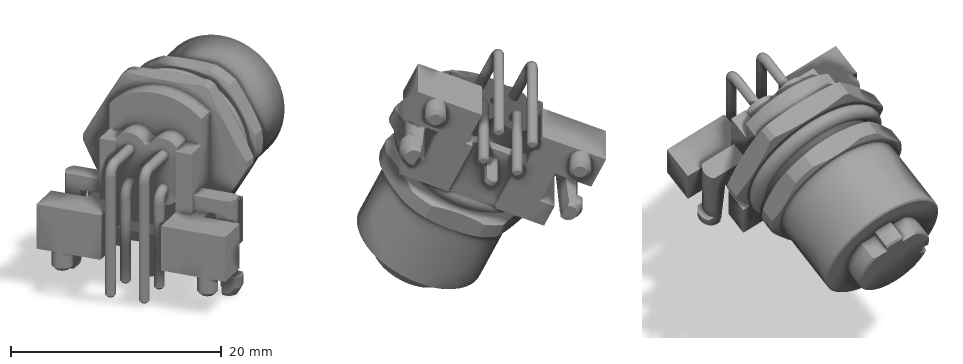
import cadquery as cq
import math


nose_end = 16.0
sleeve_end = 13.95
lock_nut_front = 6.47
lock_nut_rear = 4.45
flange_nut_front = 2.02
flange_rear = -2.02
insert_rear = -4.22
body_rear = -4.45
block_rear = -7.93

nose_radius = 4.05
nose_chamfer = 0.18
sleeve_radius = 6.5
sleeve_chamfer = 0.15
neck_radius = 6.0
ring_outer_radius = 7.45
ring_section_radius = 0.75

nut_chamfer_depth = 0.25
lock_nut_flat = 7.03
lock_nut_corner = 7.53
flange_nut_flat = 7.5
flange_nut_corner = 8.5

coding_floor = 3.2
key_half_width = 0.9
side_slot_width = 1.04
side_slot_angle = 17.0

base_top = -3.87
base_bottom = -8.5
body_half_width = 4.75
body_top = 2.43
flange_radius = 6.97
wing_half_width = 7.5
wing_front = 1.55
wing_rear = -0.95
web_half_width = 6.0
block_half_width = 9.75
opening_half_width = 3.13
opening_floor = -6.72
bridge_bottom = -7.68
bridge_notch_half_width = 2.45

pin_pitch = 3.49
pin_offset = pin_pitch / 2
pin_radius = 0.5
pin_bend_radius = 1.0
pin_bottom = -11.67
pin_tip_chamfer = 0.2
upper_pin_drop = -8.77
lower_pin_drop = -5.18
bump_radius = 1.7
bump_fillet = 0.4
insert_hole_radius = 0.63

blade_bottom = -11.57
blade_half_width = 0.55
blade_thickness = 0.5

leg_front = flange_rear
leg_width = 1.97
leg_mid = leg_front - leg_width / 2
leg_top = -2.02
leg_outer = 8.82
leg_inner_top = 7.03
leg_inner_bottom = 7.65
leg_bottom = -11.9
leg_round = 1.36
arm_bottom = -3.49
hook_outer = 9.38
hook_top = -9.93
hook_taper_top = -10.97
hook_tip_radius = 0.83
peg_x = 7.5
peg_y = -6.95
peg_radius = 1.0
peg_bottom = -10.5
peg_chamfer = 0.38


def box(x0, x1, y0, y1, z0, z1):
    """Block between two opposite corners."""
    return cq.Workplane("XY").box(x1 - x0, y1 - y0, z1 - z0, centered=False).translate((x0, y0, z0))


def slab(half_width, y0, y1, z0, z1):
    """Block centred on X = 0."""
    return box(-half_width, half_width, y0, y1, z0, z1)


def turned(profile):
    """Revolve (radius, y) points about the mating axis."""
    return cq.Workplane("XY").polyline(profile).close().revolve(360, (0, 0, 0), (0, 1, 0))


def along_y(y_front):
    """Workplane whose local axes are X and Z and which extrudes toward -Y."""
    return cq.Workplane("XZ", origin=(0, y_front, 0))


def both_sides(right_half):
    """The shape together with its mirror image across X = 0."""
    return right_half.union(right_half.mirror("YZ"))


def barrel():
    """Threaded neck and sleeve in one turned piece."""
    return turned([
        (0, 0),
        (neck_radius, 0),
        (neck_radius, lock_nut_rear),
        (sleeve_radius, lock_nut_rear),
        (sleeve_radius, sleeve_end - sleeve_chamfer),
        (sleeve_radius - sleeve_chamfer, sleeve_end),
        (0, sleeve_end),
    ])


def nose():
    """Plug face with an upper key between two flats and a coding slot on the -X side."""
    length = nose_end - sleeve_end
    solid = turned([
        (0, sleeve_end),
        (nose_radius, sleeve_end),
        (nose_radius, nose_end - nose_chamfer),
        (nose_radius - nose_chamfer, nose_end),
        (0, nose_end),
    ])
    flat = box(key_half_width, nose_radius, sleeve_end, nose_end, coding_floor, nose_radius)
    slot = cq.Workplane("XY").box(nose_radius, length, side_slot_width, centered=(False, False, True))
    slot = slot.translate((-coding_floor - nose_radius, sleeve_end, 0))
    slot = slot.rotate((0, 0, 0), (0, 1, 0), -side_slot_angle)
    return solid.cut(both_sides(flat)).cut(slot)


def nut(rear, front, flat, corner):
    """Hexagon nut, flats up and down, corners rounded and both faces chamfered."""
    across_corners = 2 * flat / math.cos(math.radians(30))
    hexagon = along_y(front).polygon(6, across_corners).extrude(front - rear)
    envelope = turned([
        (0, rear),
        (flat, rear),
        (corner, rear + nut_chamfer_depth),
        (corner, front - nut_chamfer_depth),
        (flat, front),
        (0, front),
    ])
    return hexagon.intersect(envelope)


def seal_ring():
    """O-ring resting on the front of the flange nut."""
    section_x = ring_outer_radius - ring_section_radius
    section_y = flange_nut_front + ring_section_radius
    section = cq.Workplane("XY").center(section_x, section_y).circle(ring_section_radius)
    return section.revolve(360, (-section_x, 0, 0), (-section_x, 1, 0))


def housing():
    """Rear flange, body, base and the two mounting blocks, open at the rear for the contacts."""
    flange = along_y(0).circle(flange_radius).extrude(-flange_rear)
    flange = flange.intersect(slab(body_half_width, flange_rear, 0, base_top, flange_radius))
    body = slab(body_half_width, body_rear, flange_rear, base_bottom, body_top).union(flange)
    wings = slab(wing_half_width, wing_rear, wing_front, base_bottom, base_top)
    web = slab(web_half_width, body_rear, wing_rear, base_bottom, base_top)
    blocks = slab(block_half_width, block_rear, body_rear, base_bottom, base_top)

    pocket = slab(opening_half_width, block_rear, flange_rear, opening_floor, body_top)
    block_gap = slab(opening_half_width, block_rear, insert_rear, base_bottom, body_top)
    notch = slab(bridge_notch_half_width, block_rear, wing_front, base_bottom, bridge_bottom)
    return body.union(wings).union(web).union(blocks).cut(pocket).cut(block_gap).cut(notch)


def contact_insert():
    """Four-lobed contact carrier in the pocket, with a central hole."""
    depth = flange_rear - insert_rear
    valley_z = pin_offset + math.sqrt((bump_radius + bump_fillet) ** 2 - pin_offset ** 2)
    blend = bump_radius / (bump_radius + bump_fillet)
    tangent_x = pin_offset * (1 - blend)
    tangent_z = pin_offset + (valley_z - pin_offset) * blend
    side_dx = opening_half_width - pin_offset
    side_z = pin_offset + math.sqrt(bump_radius ** 2 - side_dx ** 2)
    lobe_top = pin_offset + bump_radius
    valley_floor = valley_z - bump_fillet

    outline = along_y(flange_rear).moveTo(-opening_half_width, -side_z)
    outline = outline.lineTo(-opening_half_width, side_z)
    outline = outline.threePointArc((-pin_offset, lobe_top), (-tangent_x, tangent_z))
    outline = outline.threePointArc((0, valley_floor), (tangent_x, tangent_z))
    outline = outline.threePointArc((pin_offset, lobe_top), (opening_half_width, side_z))
    outline = outline.lineTo(opening_half_width, -side_z)
    outline = outline.threePointArc((pin_offset, -lobe_top), (tangent_x, -tangent_z))
    outline = outline.threePointArc((0, -valley_floor), (-tangent_x, -tangent_z))
    outline = outline.threePointArc((-pin_offset, -lobe_top), (-opening_half_width, -side_z))
    hole = along_y(flange_rear).circle(insert_hole_radius).extrude(depth)
    return outline.close().extrude(depth).cut(hole)


def pin(x, z, drop_y):
    """Round contact leaving the insert rearward and bent down at drop_y."""
    bend_y = drop_y + pin_bend_radius
    bend_z = z - pin_bend_radius
    half_chord = pin_bend_radius * math.sin(math.radians(45))
    path = cq.Workplane("YZ", origin=(x, 0, 0)).moveTo(flange_rear, z).lineTo(bend_y, z)
    path = path.threePointArc((bend_y - half_chord, bend_z + half_chord), (drop_y, bend_z))
    path = path.lineTo(drop_y, pin_bottom)
    wire = cq.Workplane("XZ", origin=(x, flange_rear, z)).circle(pin_radius).sweep(path)
    return wire.faces("<Z").chamfer(pin_tip_chamfer)


def blade():
    """Flat centre contact with a round end, below the bridge."""
    round_z = blade_bottom + blade_half_width
    outline = along_y(leg_mid + blade_thickness / 2).moveTo(-blade_half_width, opening_floor)
    outline = outline.lineTo(-blade_half_width, round_z)
    outline = outline.threePointArc((0, blade_bottom), (blade_half_width, round_z))
    outline = outline.lineTo(blade_half_width, opening_floor)
    return outline.close().extrude(blade_thickness)


def snap_leg():
    """Arm on the +X side carrying a leg with a tapered hook at its foot."""
    silhouette = along_y(leg_front).polyline([
        (body_half_width, leg_top),
        (leg_outer, leg_top),
        (leg_outer, leg_bottom),
        (leg_inner_bottom, leg_bottom),
        (leg_inner_top, arm_bottom),
        (body_half_width, arm_bottom),
    ]).close().extrude(leg_width)
    half = leg_width / 2
    corner_x = leg_outer - leg_round + math.sqrt(leg_round ** 2 - half ** 2)
    plan = cq.Workplane("XY", origin=(0, leg_mid, hook_taper_top)).moveTo(body_half_width, -half)
    plan = plan.lineTo(corner_x, -half).threePointArc((leg_outer, 0), (corner_x, half))
    plan = plan.lineTo(body_half_width, half).close().extrude(leg_top - hook_taper_top)

    hook = box(leg_inner_bottom, hook_outer, leg_front - leg_width, leg_front, leg_bottom, hook_top)
    hook_round = cq.Workplane("XZ").polyline([
        (0, leg_bottom),
        (hook_tip_radius, leg_bottom),
        (leg_round, hook_taper_top),
        (leg_round, hook_top),
        (0, hook_top),
    ]).close().revolve(360, (0, 0, 0), (0, 1, 0)).translate((hook_outer - leg_round, leg_mid, 0))
    return silhouette.intersect(plan).union(hook.intersect(hook_round))


def peg():
    """Locating peg under the +X mounting block."""
    shaft = cq.Workplane("XY", origin=(peg_x, peg_y, peg_bottom)).circle(peg_radius)
    return shaft.extrude(base_bottom - peg_bottom).faces("<Z").chamfer(peg_chamfer)


result = barrel().union(nose())
result = result.union(nut(lock_nut_rear, lock_nut_front, lock_nut_flat, lock_nut_corner))
result = result.union(nut(0, flange_nut_front, flange_nut_flat, flange_nut_corner))
result = result.union(seal_ring()).union(housing()).union(contact_insert()).union(blade())
result = result.union(both_sides(snap_leg())).union(both_sides(peg()))
for row_z, row_drop in ((pin_offset, upper_pin_drop), (-pin_offset, lower_pin_drop)):
    for pin_x in (-pin_offset, pin_offset):
        result = result.union(pin(pin_x, row_z, row_drop))